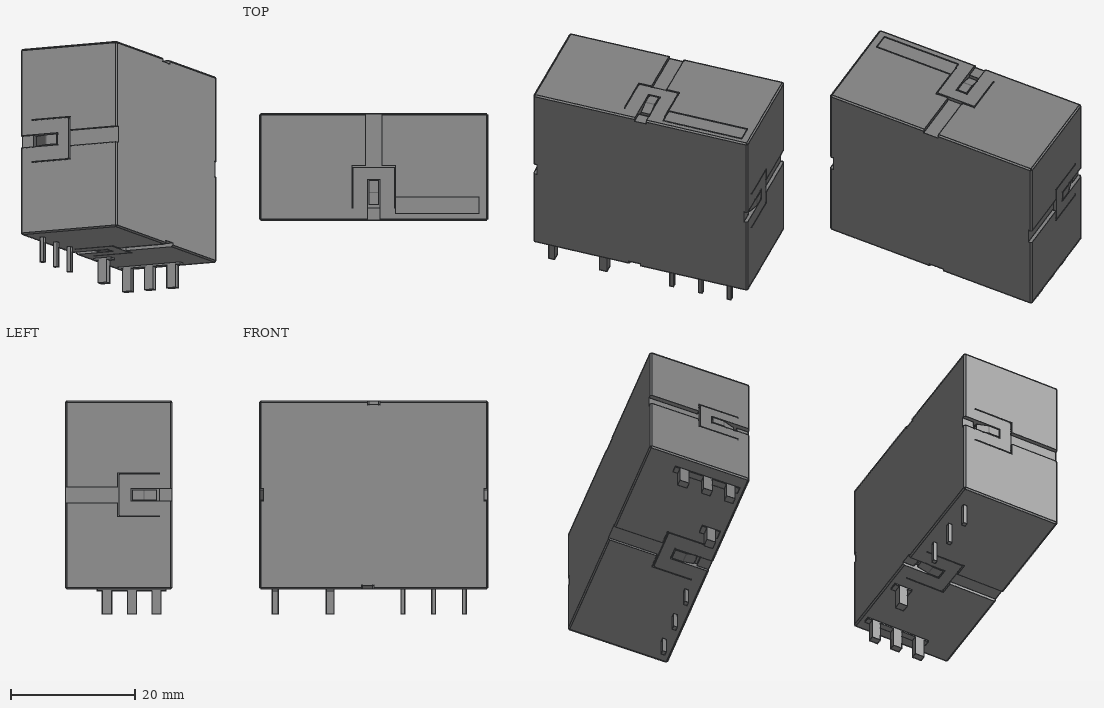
import cadquery as cq

LENGTH = 36.8
WIDTH = 17.2
HEIGHT = 30.35
EDGE_CHAMFER = 0.25
FRONT_Y = -WIDTH / 2
BACK_Y = WIDTH / 2

LATCH_DEPTH = 0.6
GROOVE_WIDTH = 2.6
SLIT_SPAN = 7.0
SLIT_BACK_Y = 0.2
TIP_SLIT_WIDTH = 0.25
SIDE_SLIT_WIDTH = 0.12
TONGUE_CORNER_RADIUS = 0.2
WINDOW_WIDTH = 2.0
WINDOW_BACK_Y = -2.0
WINDOW_FRONT_Y = -6.6
WINDOW_DEPTH = 1.2
UNDERSIDE_LATCH_X = -1.0

HOOK_WIDTH = 1.6
HOOK_GAP = (WINDOW_WIDTH - HOOK_WIDTH) / 2
HOOK_RAMP_Y = -4.1
HOOK_FRONT_Y = -6.05
HOOK_FRONT_DROP = LATCH_DEPTH

LABEL_LEFT_X = SLIT_SPAN / 2
LABEL_RIGHT_X = 17.0
LABEL_BACK_Y = -4.85
LABEL_FRONT_Y = -7.5
LABEL_DEPTH = 0.15

PIN_LENGTH = 4.05
PIN_FRONT_Y = -6.85
BLADE_WIDTH = 1.5
END_PIN_X = -15.9
END_PIN_THICKNESS = 1.0
END_BLADES = [(PIN_FRONT_Y, BLADE_WIDTH), (-2.9, BLADE_WIDTH), (1.1, 1.6)]
MID_PIN_X = -7.05
MID_PIN_THICKNESS = 1.3
SMALL_PIN_SIZE = 0.65
SMALL_PIN_FIRST_X = 4.7
SMALL_PIN_PITCH = 4.95
SMALL_PIN_COUNT = 3

PAD_HEIGHT = 0.3
PAD_MARGIN = 0.8


def block(x_range, y_range, z_range):
    """Axis-aligned box between the given limits."""
    size = [high - low for low, high in (x_range, y_range, z_range)]
    corner = (x_range[0], y_range[0], z_range[0])
    return cq.Workplane("XY").box(*size, centered=False).translate(corner)


def centred(width, middle=0.0):
    """Limits of a span of the given width about a middle value."""
    return (middle - width / 2, middle + width / 2)


def housing():
    body = block(centred(LENGTH), centred(WIDTH), (0, HEIGHT))
    return body.edges().chamfer(EDGE_CHAMFER)


def latch_cutter():
    """Material removed by one latch, on a face lying in Z = 0 with +Z outward."""
    depth = (-LATCH_DEPTH, LATCH_DEPTH)
    tip_y = SLIT_BACK_Y - TIP_SLIT_WIDTH
    tongue_width = SLIT_SPAN - 2 * SIDE_SLIT_WIDTH
    groove = block(centred(GROOVE_WIDTH), (tip_y, BACK_Y), depth)
    slit = block(centred(SLIT_SPAN), (WINDOW_FRONT_Y, SLIT_BACK_Y), depth)
    tongue = block(centred(tongue_width), (WINDOW_FRONT_Y, tip_y), depth)
    tongue = tongue.edges("|Z and >Y").fillet(TONGUE_CORNER_RADIUS)
    entry = block(centred(WINDOW_WIDTH), (FRONT_Y, WINDOW_FRONT_Y), depth)
    window = block(
        centred(WINDOW_WIDTH), (WINDOW_FRONT_Y, WINDOW_BACK_Y), (-WINDOW_DEPTH, LATCH_DEPTH)
    )
    return slit.cut(tongue).union(groove).union(entry).union(window).cut(latch_hook())


def latch_hook():
    """Ramped hook left standing in the window, level with the face at its back."""
    back_y = WINDOW_BACK_Y - HOOK_GAP
    return (
        cq.Workplane("YZ")
        .moveTo(back_y, -WINDOW_DEPTH)
        .lineTo(back_y, 0)
        .lineTo(HOOK_RAMP_Y, 0)
        .lineTo(HOOK_FRONT_Y, -HOOK_FRONT_DROP)
        .lineTo(HOOK_FRONT_Y, -WINDOW_DEPTH)
        .close()
        .extrude(HOOK_WIDTH / 2, both=True)
    )


def cut_latches(body):
    """Cut the latch into the top, underside and both ends of the housing."""
    mid_z = HEIGHT / 2
    placements = [
        (0, (0, 0, HEIGHT)),
        (90, (LENGTH / 2, 0, mid_z)),
        (180, (UNDERSIDE_LATCH_X, 0, 0)),
        (270, (-LENGTH / 2, 0, mid_z)),
    ]
    for angle, position in placements:
        cutter = latch_cutter().rotate((0, 0, 0), (0, 1, 0), angle).translate(position)
        body = body.cut(cutter)
    return body


def label_recess():
    return block(
        (LABEL_LEFT_X, LABEL_RIGHT_X),
        (LABEL_FRONT_Y, LABEL_BACK_Y),
        (HEIGHT - LABEL_DEPTH, HEIGHT),
    )


def pin(x, thickness, front_y, width):
    return block(centred(thickness, x), (front_y, front_y + width), (-PIN_LENGTH, 0))


def pad(x, thickness, front_y, back_y):
    return block(
        centred(thickness, x), (front_y - PAD_MARGIN, back_y + PAD_MARGIN), (-PAD_HEIGHT, 0)
    )


def terminals():
    last_front_y, last_width = END_BLADES[-1]
    parts = [
        pad(END_PIN_X, END_PIN_THICKNESS, PIN_FRONT_Y, last_front_y + last_width),
        pad(MID_PIN_X, MID_PIN_THICKNESS, PIN_FRONT_Y, PIN_FRONT_Y + BLADE_WIDTH),
        pin(MID_PIN_X, MID_PIN_THICKNESS, PIN_FRONT_Y, BLADE_WIDTH),
    ]
    for front_y, width in END_BLADES:
        parts.append(pin(END_PIN_X, END_PIN_THICKNESS, front_y, width))
    for index in range(SMALL_PIN_COUNT):
        x = SMALL_PIN_FIRST_X + index * SMALL_PIN_PITCH
        parts.append(pin(x, SMALL_PIN_SIZE, PIN_FRONT_Y, SMALL_PIN_SIZE))
    return parts


result = cut_latches(housing()).cut(label_recess())
for terminal in terminals():
    result = result.union(terminal)